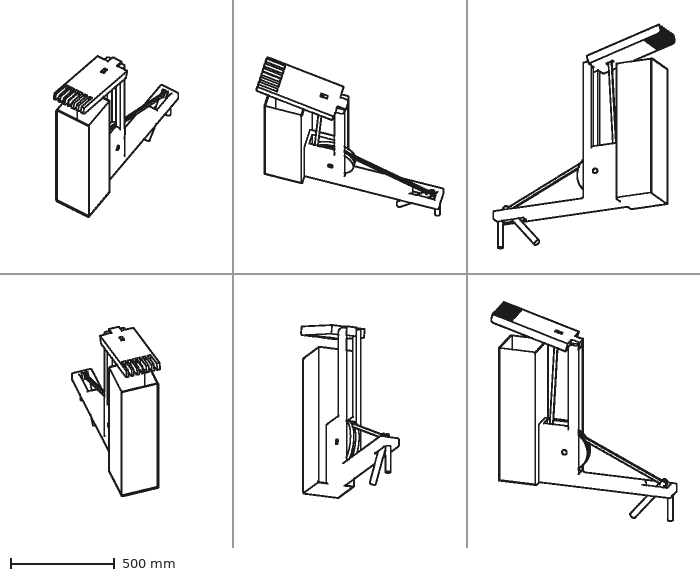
import cadquery as cq
import math


edge_radius = 9
bin_size = 190.09
bin_height = 688.5
bin_centre_x = -3
bin_wall = 5
bin_thin_wall = 3
frame_width = 103
frame_centre_x = -1
arm_thickness = 45
arm_end_y = 861
base_height = 302
column_front_y = 385
column_back_y = column_front_y - arm_thickness
column_height = 732
column_top_radius = 18
inner_corner_radius = 7
fork_gap = 51

slot_width = 33
slot_start_y = 715
slot_end_y = 829.5
post_diameter = 26
post_centre_y = slot_end_y + post_diameter / 2
post_bottom_z = -130

wheel_y = 320
wheel_z = 173
wheel_radius = 107.5
wheel_width = 45
wheel_clearance = 5
groove_depth = 25
axle_diameter = 24
axle_recess = 5

plate_tilt = 15.5
plate_thickness = 43
plate_length = 440.35
plate_width = 171
tongue_length = 43.5
tongue_width = 51
tongue_y = 391
tongue_z = 739.7
finger_length = 96
tip_radius = 17
left_gap_width = 17
right_gap_width = 14.8
middle_gap_width = 17.5
finger_pitch = 27
gaps_per_side = 3
first_gap_x = -75.3
last_gap_x = 70.5
rod_hole_width = 15
rod_hole_length = 34.5
rod_hole_start = 103

rod_width = 9
rod_depth = 16
lift_rod_ends = ((264.6, 765), (232.8, 203))
pull_rod_ends = ((823, 48.7), (379, 249))
peg_diameter = 31
peg_length = 260.6
peg_slot_width = 15
peg_slot_length = 32
peg_tilt = 50
peg_top = (817.6, 68.5)


def box(x_range, y_range, z_range):
    """Axis-aligned box between the given limits."""
    size = [limits[1] - limits[0] for limits in (x_range, y_range, z_range)]
    corner = (x_range[0], y_range[0], z_range[0])
    return cq.Workplane("XY").box(*size, centered=False).translate(corner)


def centred(width, middle=0):
    """Limits of a span about its middle."""
    return (middle - width / 2, middle + width / 2)


def rod(ends):
    """Rectangular bar along a centre line in the YZ plane."""
    (y1, z1), (y2, z2) = ends
    length = math.hypot(y2 - y1, z2 - z1)
    angle = math.degrees(math.atan2(z2 - z1, y2 - y1))
    bar = cq.Workplane("XY").box(rod_width, length, rod_depth)
    return bar.rotate((0, 0, 0), (1, 0, 0), angle).translate((0, (y1 + y2) / 2, (z1 + z2) / 2))


def cross_cylinder(diameter, length):
    """Cylinder along X, centred on the wheel."""
    disc = cq.Workplane("YZ").circle(diameter / 2).extrude(length / 2, both=True)
    return disc.translate((0, wheel_y, wheel_z))


def make_wheel():
    axle_length = frame_width - 2 * axle_recess
    axle = cross_cylinder(axle_diameter, axle_length).translate((frame_centre_x, 0, 0))
    wheel = cross_cylinder(2 * wheel_radius, wheel_width)
    groove = cross_cylinder(2 * wheel_radius, rod_width)
    core = cross_cylinder(2 * (wheel_radius - groove_depth), rod_width)
    return wheel.cut(groove).union(core).union(axle)


def is_rounded_frame_edge(edge):
    """Underside, arm, column front and base top edges along the sides, and the arm tip."""
    tolerance = 0.1
    centre = edge.Center()
    if abs(centre.y - arm_end_y) < tolerance:
        return True
    along_side = edge.BoundingBox().xlen < tolerance
    underneath = abs(centre.z) < tolerance
    in_front = centre.y > column_front_y - tolerance
    base_top = abs(centre.z - base_height) < tolerance
    return along_side and (underneath or in_front or base_top)


def make_frame_body():
    """Side profile extruded across X, with its long edges rounded."""
    start_y = bin_size - bin_wall
    left_x, _ = centred(frame_width, frame_centre_x)
    body = (
        cq.Workplane("YZ", origin=(left_x, 0, 0))
        .moveTo(start_y, 0)
        .lineTo(arm_end_y, 0)
        .lineTo(arm_end_y, arm_thickness)
        .lineTo(column_front_y + inner_corner_radius, arm_thickness)
        .radiusArc((column_front_y, arm_thickness + inner_corner_radius), inner_corner_radius)
        .lineTo(column_front_y, column_height)
        .lineTo(column_back_y + column_top_radius, column_height)
        .radiusArc((column_back_y, column_height - column_top_radius), -column_top_radius)
        .lineTo(column_back_y, base_height)
        .lineTo(start_y, base_height)
        .close()
        .extrude(frame_width)
    )
    rounded = [edge for edge in body.edges().vals() if is_rounded_frame_edge(edge)]
    return body.newObject(rounded).fillet(edge_radius)


def make_bin():
    """Open-topped box behind the column, with a thinner wall on its -X side."""
    x_range = centred(bin_size, bin_centre_x)
    outer = box(x_range, (0, bin_size), (0, bin_height))
    outer = outer.edges("|Y or (>Y and |Z)").fillet(edge_radius)
    cavity = box(
        (x_range[0] + bin_thin_wall, x_range[1] - bin_wall),
        (bin_wall, bin_size - bin_wall),
        (bin_wall, bin_height),
    )
    return outer.cut(cavity)


def make_frame():
    frame = make_frame_body().union(make_bin())

    fork = box(centred(fork_gap), (column_back_y, column_front_y), (base_height, column_height))
    wheel_reach = wheel_radius + wheel_clearance
    wheel_slot = box(
        centred(fork_gap),
        (wheel_y - wheel_reach, column_front_y),
        (wheel_z - wheel_reach, base_height),
    )
    arm_slot = box(centred(slot_width), (slot_start_y, slot_end_y), (0, arm_thickness))
    frame = frame.cut(fork).cut(wheel_slot).cut(arm_slot)

    margin = 1
    slot_rim = cq.selectors.BoxSelector(
        (-slot_width / 2 - margin, slot_start_y - margin, arm_thickness - margin),
        (slot_width / 2 + margin, slot_end_y + margin, arm_thickness + margin),
    )
    frame = frame.edges(slot_rim).fillet(edge_radius)

    axle_bore = cross_cylinder(axle_diameter, frame_width).translate((frame_centre_x, 0, 0))
    post = (
        cq.Workplane("XY", origin=(0, post_centre_y, post_bottom_z))
        .circle(post_diameter / 2)
        .extrude(arm_thickness / 2 - post_bottom_z)
    )
    return frame.cut(axle_bore).union(post)


def finger_gaps():
    """X limits of the six gaps: three on each side of the thin middle finger."""
    gaps = []
    for index in range(gaps_per_side):
        left_x = first_gap_x + index * finger_pitch
        right_x = last_gap_x - index * finger_pitch
        gaps.append((left_x, left_x + left_gap_width))
        inner_x = right_x - (middle_gap_width if index == gaps_per_side - 1 else right_gap_width)
        gaps.append((inner_x, right_x))
    return gaps


def make_plate():
    """Plate made level, its tongue's top edge at the origin, then tilted into place."""
    depth = (-plate_thickness, 0)
    plate = box(centred(plate_width), (-plate_length, -tongue_length), depth)
    plate = plate.edges("<Y and <Z").fillet(tip_radius)
    plate = plate.union(box(centred(tongue_width), (-tongue_length, 0), depth))
    for gap in finger_gaps():
        plate = plate.cut(box(gap, (-plate_length, finger_length - plate_length), depth))
    hole_y = (-rod_hole_start - rod_hole_length, -rod_hole_start)
    plate = plate.cut(box(centred(rod_hole_width), hole_y, depth))
    return plate.rotate((0, 0, 0), (1, 0, 0), -plate_tilt).translate((0, tongue_y, tongue_z))


def make_peg():
    peg = cq.Workplane("XY").circle(peg_diameter / 2).extrude(-peg_length)
    slot = box(centred(peg_slot_width), centred(peg_diameter), (-peg_slot_length, 0))
    peg = peg.cut(slot).rotate((0, 0, 0), (1, 0, 0), peg_tilt - 90)
    return peg.translate((0, *peg_top))


frame = make_frame()
wheel = make_wheel()
plate = make_plate()
lift_rod = rod(lift_rod_ends)
pull_rod = rod(pull_rod_ends)
peg = make_peg()

result = cq.Compound.makeCompound(
    [frame.val(), wheel.val(), plate.val(), lift_rod.val(), pull_rod.val(), peg.val()]
)